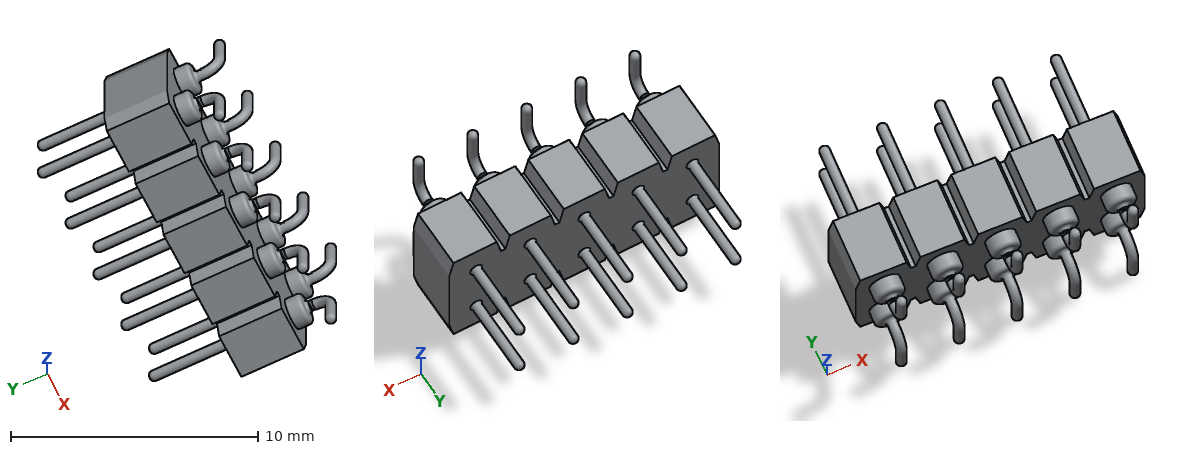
import cadquery as cq


pitch = 2.54
columns = 5
rows = 2

block_length = columns * pitch
block_height = rows * pitch
block_depth = 2.82
notch_depth = 0.8
notch_floor_width = 0.2
flank_run = 0.2

wire_radius = 0.23
tip_fillet = 0.2
flare_fillet = 0.15
flare_radius = wire_radius + flare_fillet
tail_length = 3.61
rear_flare_length = 0.11
collar_radius = 0.67
collar_length = 0.67
collar_fillet = 0.17
relief_length = 0.15
bend_radius = 0.76
leg_end_height = 2.2

tail_end = block_depth + tail_length
rear_flare_end = block_depth + rear_flare_length
rear_flare_start = rear_flare_end - flare_fillet
collar_face = -collar_length
front_flare_end = collar_face - flare_fillet
bend_start = front_flare_end - relief_length
leg_axis = bend_start - bend_radius


def make_block():
    """Block with sloped end corners and a trapezoidal notch between neighbouring columns."""
    half_length = block_length / 2
    half_height = block_height / 2
    notch_floor = half_height - notch_depth
    half_floor = notch_floor_width / 2
    half_mouth = half_floor + flank_run

    top_edge = [(-half_length, notch_floor), (-half_length + flank_run, half_height)]
    for index in range(1, columns):
        x = -half_length + index * pitch
        top_edge += [
            (x - half_mouth, half_height),
            (x - half_floor, notch_floor),
            (x + half_floor, notch_floor),
            (x + half_mouth, half_height),
        ]
    top_edge += [(half_length - flank_run, half_height), (half_length, notch_floor)]
    bottom_edge = [(x, -z) for x, z in reversed(top_edge)]

    return cq.Workplane("XZ").polyline(top_edge + bottom_edge).close().extrude(-block_depth)


def make_turned_body():
    """Revolved part of the pin, from the relief through the collar to the tip of the tail."""
    profile = (
        cq.Workplane("XY")
        .moveTo(0, bend_start)
        .lineTo(wire_radius, bend_start)
        .lineTo(wire_radius, front_flare_end)
        .tangentArcPoint((flare_radius, collar_face), relative=False)
        .lineTo(collar_radius - collar_fillet, collar_face)
        .tangentArcPoint((collar_radius, collar_face + collar_fillet), relative=False)
        .lineTo(collar_radius, rear_flare_start)
        .lineTo(flare_radius, rear_flare_start)
        .tangentArcPoint((wire_radius, rear_flare_end), relative=False)
        .lineTo(wire_radius, tail_end - tip_fillet)
        .tangentArcPoint((wire_radius - tip_fillet, tail_end), relative=False)
        .lineTo(0, tail_end)
        .close()
    )
    return profile.revolve(360, (0, 0, 0), (0, 1, 0))


def make_leg():
    """Wire that bends from the pin axis up to +Z and ends in a rounded tip."""
    path = (
        cq.Workplane("YZ")
        .moveTo(bend_start, 0)
        .radiusArc((leg_axis, bend_radius), bend_radius)
        .lineTo(leg_axis, leg_end_height)
    )
    wire = cq.Workplane("XZ", origin=(0, bend_start, 0)).circle(wire_radius).sweep(path)
    return wire.faces(">Z").edges().fillet(tip_fillet)


def make_relief():
    """Cutter that leaves only the lower half of the wire between the flare and the bend."""
    cutter = cq.Workplane("XY").box(
        2 * wire_radius, relief_length, wire_radius, centered=(True, False, False)
    )
    return cutter.translate((0, bend_start, 0))


def make_pin():
    """Pin on the Y axis with its leg pointing to +Z."""
    return make_turned_body().cut(make_relief()).union(make_leg())


upper_pin = make_pin()
lower_pin = upper_pin.rotate((0, 0, 0), (0, 1, 0), 180)

result = make_block()
for column in range(columns):
    pin_x = (column - (columns - 1) / 2) * pitch
    result = result.union(upper_pin.translate((pin_x, 0, pitch / 2)))
    result = result.union(lower_pin.translate((pin_x, 0, -pitch / 2)))